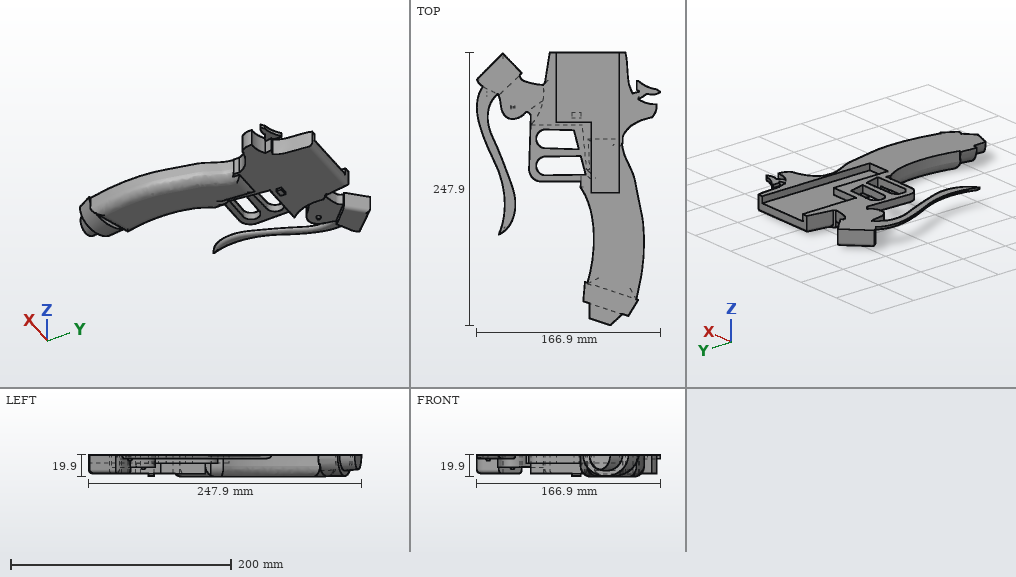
import cadquery as cq

RIGHT_TIP_X = 166.87
BUTT_TIP_Y = -247.86

FRAME_DEPTH = 16.9
GRIP_DEPTH = 19.94
GUARD_DEPTH = 7.7
NECK_DEPTH = 11.1
THIN_DEPTH = 3.5
POCKET_DEPTH = 6.9

GRIP_ROUND = 9.9
BLOCK_ROUND = 3.7
LEVER_ROUND = 2.8
MUZZLE_ROUND = 3.9

POCKET_LEFT_X = 72.2
POCKET_STEP_X = 103.9
POCKET_RIGHT_X = 129.6
POCKET_STEP_Y = -63.2
POCKET_END_Y = -127.2

FRAME_LEFT_X = 49.0
FRAME_FRONT_Y = -65.6
MUZZLE_LEFT_X = 66.2
GUARD_TOP_Y = -57.5
GUARD_LEFT_X = 47.4
GUARD_BOTTOM_Y = -117.4
GUARD_CORNER = 11.5
GRIP_CORNER_X = 94.4
GUARD_INNER_X = 106.0
GUARD_INNER_Y = -38.0
GRIP_FRONT_Y = -106.0
GRIP_TOP_Y = -75.5
SLOT_WALL_TOP_X = 95.5
SLOT_WALL_BOTTOM_X = 99.5

SLOT_LEFT_X = 54.1
SLOT_ROUND_X = 61.2
SLOT_WIDTH = 16.7
UPPER_SLOT_TOP_Y = -70.1
LOWER_SLOT_TOP_Y = -94.7

RING_UPPER = ((98.2, -208.3), (146.8, -224.6), 19.4)
RING_LOWER = ((96.6, -226.0), (137.7, -239.4), 19.2)
PLUG_UPPER = ((102.4, -225.6), (134.2, -236.0), 14.6)
PLUG_LOWER = ((102.4, -241.6), (121.2, BUTT_TIP_Y), 13.2)

LEVER_DOME = (10.4, -37.5)
NECK_DOME = (32.5, -49.7)
DOME_RADIUS = 2.8
DOME_HEIGHT = 2.0
DOME_TAPER = 30.0

PAD_CENTRE = (90.5, -56.9)
PAD_LENGTH = 8.2
PAD_WIDTH = 5.2
PAD_HEIGHT = 2.4

OVERLAP = 1.0


def extrude_down(sketch, depth):
    """Extrude a closed outline from the joint face downwards."""
    return sketch.close().extrude(-depth)


def bottom_edge_near(x, y):
    """Selector for the frame-depth underside edge closest to a plan position."""
    return cq.selectors.NearestToPointSelector((x, y, -FRAME_DEPTH))


def make_frame():
    outline = (
        cq.Workplane("XY")
        .moveTo(MUZZLE_LEFT_X, 0)
        .lineTo(61.8, -27.7)
        .lineTo(60.2, -29.4)
        .threePointArc((58.8, -48.5), (FRAME_LEFT_X, FRAME_FRONT_Y))
        .lineTo(SLOT_WALL_TOP_X, FRAME_FRONT_Y)
        .lineTo(SLOT_WALL_BOTTOM_X, GRIP_FRONT_Y)
        .lineTo(GUARD_INNER_X, GRIP_FRONT_Y)
        .lineTo(132.7, -82.3)
        .lineTo(132.7, -76.6)
        .spline([(140.2, -66.6), (149.0, -61.8), (159.0, -59.1)], includeCurrent=True)
        .threePointArc((162.4, -54.1), (163.4, -46.9))
        .threePointArc((155.5, -46.2), (146.5, -42.1))
        .lineTo(147.8, -35.5)
        .lineTo(141.5, -37.1)
        .spline([(138.3, -29.0), (137.1, -19.6), (135.0, 0)], includeCurrent=True)
    )
    frame = extrude_down(outline, FRAME_DEPTH)
    front_edge = bottom_edge_near(100.0, 0)
    left_edge = bottom_edge_near(64.0, -13.85)
    return frame.edges(front_edge + left_edge).fillet(MUZZLE_ROUND)


def make_guard():
    outline = (
        cq.Workplane("XY")
        .moveTo(44.9, -54.1)
        .threePointArc((47.7, -55.3), (FRAME_LEFT_X, GUARD_TOP_Y))
        .lineTo(GUARD_LEFT_X, GUARD_BOTTOM_Y + GUARD_CORNER)
        .radiusArc((GUARD_LEFT_X + GUARD_CORNER, GUARD_BOTTOM_Y), -GUARD_CORNER)
        .lineTo(GUARD_INNER_X, GUARD_BOTTOM_Y)
        .lineTo(GUARD_INNER_X, GUARD_INNER_Y)
        .lineTo(62.0, GUARD_INNER_Y)
    )
    return extrude_down(outline, GUARD_DEPTH)


def make_finger_slot(top_y, top_right, bottom_right):
    bottom_y = top_y - SLOT_WIDTH
    outline = (
        cq.Workplane("XY")
        .moveTo(*top_right)
        .lineTo(SLOT_ROUND_X, top_y)
        .threePointArc((SLOT_LEFT_X, (top_y + bottom_y) / 2), (SLOT_ROUND_X, bottom_y))
        .lineTo(*bottom_right)
    )
    return extrude_down(outline, GRIP_DEPTH)


def make_grip():
    back_curve = [
        (150.3, -197.7),
        (152.1, -169.0),
        (150.3, -148.8),
        (146.5, -131.2),
        (142.3, -111.1),
        (134.2, -93.0),
        (132.7, GRIP_TOP_Y),
    ]
    outline = (
        cq.Workplane("XY")
        .moveTo(98.0, GRIP_TOP_Y)
        .lineTo(SLOT_WALL_BOTTOM_X, GRIP_FRONT_Y)
        .lineTo(GRIP_CORNER_X, GRIP_FRONT_Y)
        .lineTo(GRIP_CORNER_X, GUARD_BOTTOM_Y)
        .lineTo(94.2, -122.4)
        .spline([(100.7, -135.0), (106.1, -162.6), (104.5, -191.4), (100.3, -210.0)], includeCurrent=True)
        .lineTo(145.0, -224.6)
        .spline(back_curve, includeCurrent=True)
    )
    grip = extrude_down(outline, GRIP_DEPTH)
    return grip.faces("<Z").edges().fillet(GRIP_ROUND)


def half_ellipse_section(section):
    """Half ellipse hanging from the joint face between two outline points."""
    left, right, depth = section
    start = cq.Vector(left[0], left[1], 0)
    end = cq.Vector(right[0], right[1], 0)
    chord = end - start
    plane = cq.Plane(
        origin=((start + end) * 0.5).toTuple(),
        xDir=chord.toTuple(),
        normal=(chord.y, -chord.x, 0),
    )
    half_width = chord.Length / 2
    profile = (
        cq.Workplane(plane)
        .moveTo(half_width, 0)
        .lineTo(-half_width, 0)
        .ellipseArc(half_width, depth, 180, 360, sense=1, startAtCurrent=True)
    )
    return profile.close().val()


def loft_sections(upper, lower):
    wires = [half_ellipse_section(upper), half_ellipse_section(lower)]
    return cq.Workplane(obj=cq.Solid.makeLoft(wires, True))


def make_lever():
    lever_tip = (19.8, -165.7)
    outer_curve = [
        (0.8, -42.1),
        (0.0, -50.0),
        (4.1, -71.0),
        (10.4, -87.3),
        (18.6, -104.9),
        (25.1, -131.2),
        (24.2, -151.3),
        lever_tip,
    ]
    inner_curve = [
        (31.7, -153.8),
        (35.1, -135.0),
        (28.0, -109.9),
        (18.6, -86.0),
        (11.7, -69.7),
        (11.0, -50.9),
        (19.2, -37.8),
    ]
    outline = (
        cq.Workplane("XY")
        .moveTo(6.6, -29.4)
        .lineTo(5.4, -30.9)
        .spline(outer_curve, includeCurrent=True)
        .spline(inner_curve, includeCurrent=True)
        .lineTo(23.0, -32.0)
    )
    return extrude_down(outline, THIN_DEPTH).faces("<Z").edges().fillet(LEVER_ROUND)


def make_neck():
    bulb_curve = [
        (36.1, -60.0),
        (29.2, -60.0),
        (23.0, -53.4),
        (21.7, -47.2),
        (19.2, -37.8),
    ]
    outline = (
        cq.Workplane("XY")
        .moveTo(40.9, -18.6)
        .lineTo(39.1, -20.2)
        .threePointArc((39.9, -23.2), (42.4, -25.6))
        .threePointArc((50.5, -28.1), (60.2, -29.4))
        .lineTo(65.0, -40.0)
        .lineTo(50.5, -50.0)
        .lineTo(44.9, -54.1)
        .lineTo(43.6, -55.3)
        .spline(bulb_curve, includeCurrent=True)
        .lineTo(20.0, -30.0)
    )
    return extrude_down(outline, NECK_DEPTH)


def make_front_block():
    outline = (
        cq.Workplane("XY")
        .moveTo(23.6, -0.8)
        .lineTo(0, -24.6)
        .threePointArc((2.0, -28.0), (5.4, -30.9))
        .lineTo(20.1, -38.3)
        .lineTo(40.9, -18.6)
    )
    block = extrude_down(outline, FRAME_DEPTH)
    inner_edge = bottom_edge_near(30.5, -28.5)
    return block.faces("<Z").edges(-inner_edge).fillet(BLOCK_ROUND)


def make_sight():
    outline = (
        cq.Workplane("XY")
        .moveTo(145.2, -25.9)
        .lineTo(146.5, -25.5)
        .threePointArc((154.0, -30.6), (163.4, -33.4))
        .lineTo(RIGHT_TIP_X, -35.9)
        .threePointArc((161.0, -38.3), (154.7, -37.5))
        .lineTo(149.6, -41.1)
        .lineTo(146.5, -42.1)
        .lineTo(142.0, -42.1)
        .lineTo(142.0, -37.1)
        .lineTo(147.8, -35.5)
        .lineTo(145.2, -34.0)
    )
    return extrude_down(outline, THIN_DEPTH)


def make_dome(centre, base_depth):
    """Tapered screw head standing DOME_HEIGHT below the given depth."""
    return (
        cq.Workplane("XY", origin=(*centre, OVERLAP - base_depth))
        .circle(DOME_RADIUS)
        .extrude(-DOME_HEIGHT - OVERLAP, taper=DOME_TAPER)
    )


def make_pad():
    return (
        cq.Workplane("XY", origin=(*PAD_CENTRE, OVERLAP - FRAME_DEPTH))
        .rect(PAD_LENGTH, PAD_WIDTH)
        .extrude(-PAD_HEIGHT - OVERLAP)
    )


def make_pocket():
    outline = (
        cq.Workplane("XY")
        .moveTo(POCKET_LEFT_X, 0)
        .lineTo(POCKET_LEFT_X, POCKET_STEP_Y)
        .lineTo(POCKET_STEP_X, POCKET_STEP_Y)
        .lineTo(POCKET_STEP_X, POCKET_END_Y)
        .lineTo(POCKET_RIGHT_X, POCKET_END_Y)
        .lineTo(POCKET_RIGHT_X, 0)
    )
    return extrude_down(outline, POCKET_DEPTH)


result = (
    make_frame()
    .union(make_guard())
    .union(make_grip())
    .cut(make_finger_slot(UPPER_SLOT_TOP_Y, (88.2, -70.7), (92.6, -87.9)))
    .cut(make_finger_slot(LOWER_SLOT_TOP_Y, (94.4, -94.2), (98.8, -110.9)))
    .union(loft_sections(RING_UPPER, RING_LOWER))
    .union(loft_sections(PLUG_UPPER, PLUG_LOWER))
    .union(make_neck())
    .union(make_front_block())
    .union(make_lever())
    .union(make_sight())
    .union(make_dome(LEVER_DOME, THIN_DEPTH))
    .union(make_dome(NECK_DOME, NECK_DEPTH))
    .union(make_pad())
    .cut(make_pocket())
)